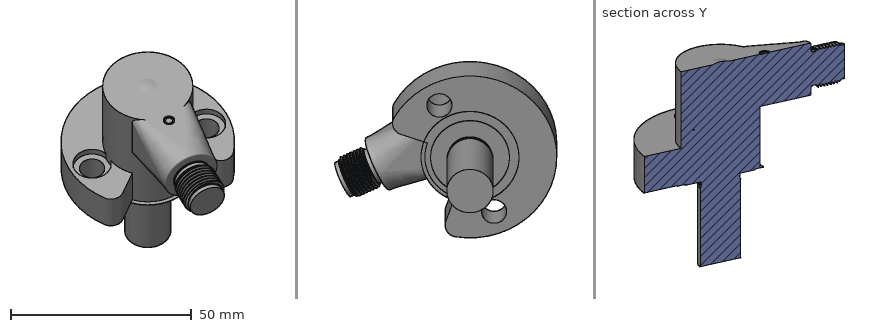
import cadquery as cq
import math


FLANGE_RADIUS = 24.0
FLANGE_HEIGHT = 11.2
NOTCH_ANGLE = 90.0
FLANGE_CORNER_RADIUS = 3.45
BOLT_X = 1.0
BOLT_Y = 17.45
BOLT_HOLE_RADIUS = 3.45
COUNTERBORE_RADIUS = 5.3
COUNTERBORE_DEPTH = 1.95

BODY_RADIUS = 12.5
BODY_TOP = 34.45
DOME_RADIUS = 2.6
DOME_HEIGHT = 0.45

LIP_RADIUS = 13.55
LIP_DEPTH = 0.2
SEAT_RADIUS = 10.9
SEAT_DEPTH = 0.45
NECK_RADIUS = 6.2
NECK_BOTTOM = -1.8
NECK_GROOVE_DEPTH = 0.1
NECK_GROOVE_TOP = -1.15
NECK_GROOVE_BOTTOM = -1.4
STEM_RADIUS = 6.4
STEM_LEAD_HEIGHT = 0.4
STEM_BOTTOM = -26.15

ARM_START_X = 8.8
ARM_START_HALF_WIDTH = 8.9
ARM_START_CORNER = 2.1
COLLAR_START_X = 26.9
COLLAR_END_X = 28.5
COLLAR_RADIUS = 8.0
COLLAR_FILLET = 0.45
ARM_AXIS_Z = BODY_TOP - COLLAR_RADIUS

LIGHT_X = 13.9
LIGHT_RADIUS = 1.6
LIGHT_FLOOR_RADIUS = 1.3
LIGHT_RECESS_DEPTH = 0.2
LENS_RADIUS = 0.95

SHOULDER_RADIUS = 5.4
SHOULDER_END_X = 28.8
CONNECTOR_NECK_RADIUS = 5.15
THREAD_START_X = 30.0
THREAD_END_X = 37.8
THREAD_ROOT_RADIUS = 5.4
THREAD_CREST_RADIUS = 6.05
THREAD_PITCH = 1.0
THREAD_BASE_WIDTH = 0.8
THREAD_CREST_WIDTH = 0.25
THREAD_OVERLAP = 0.1
THREAD_END_RADIUS = 5.35
THREAD_START_ANGLE = 135.0
THREAD_CLEARANCE = 0.3
NOSE_RADIUS = 5.2
NOSE_END_X = 63.0 - FLANGE_RADIUS


def cylinder(radius, bottom, top):
    """Upright cylinder on the body axis."""
    return cq.Workplane("XY").workplane(offset=bottom).circle(radius).extrude(top - bottom)


def arm_cylinder(radius, start_x, end_x):
    """Cylinder on the arm axis."""
    plane = cq.Workplane("YZ", origin=(start_x, 0, ARM_AXIS_Z))
    return plane.circle(radius).extrude(end_x - start_x)


def spherical_cap(radius, height, x, base_z):
    """Low dome standing on a horizontal plane."""
    profile = (
        cq.Workplane("XZ")
        .moveTo(0, 0)
        .lineTo(radius, 0)
        .radiusArc((0, height), -(radius**2 + height**2) / (2 * height))
        .close()
    )
    return profile.revolve(360, (0, 0, 0), (0, 1, 0)).translate((x, 0, base_z))


def make_flange():
    """Disc with a quarter-turn notch facing the arm and two counterbored holes."""
    reach = 2 * FLANGE_RADIUS
    half_angle = math.radians(NOTCH_ANGLE / 2)
    notch = (
        cq.Workplane("XY")
        .polyline([
            (0, 0),
            (reach * math.cos(half_angle), -reach * math.sin(half_angle)),
            (reach * math.cos(half_angle), reach * math.sin(half_angle)),
        ])
        .close()
        .extrude(FLANGE_HEIGHT)
    )
    flange = cylinder(FLANGE_RADIUS, 0, FLANGE_HEIGHT).cut(notch)
    flange = flange.edges("|Z").edges(">Y or <Y").fillet(FLANGE_CORNER_RADIUS)
    return (
        flange.faces(">Z")
        .workplane(origin=(0, 0, FLANGE_HEIGHT))
        .pushPoints([(BOLT_X, BOLT_Y), (BOLT_X, -BOLT_Y)])
        .cboreHole(2 * BOLT_HOLE_RADIUS, 2 * COUNTERBORE_RADIUS, COUNTERBORE_DEPTH)
    )


def make_body():
    dome = spherical_cap(DOME_RADIUS, DOME_HEIGHT, 0, BODY_TOP)
    return cylinder(BODY_RADIUS, 0, BODY_TOP).union(dome)


def make_stem():
    """Underside discs, grooved neck and stem, turned about the body axis."""
    groove_radius = NECK_RADIUS - NECK_GROOVE_DEPTH
    outline = [
        (0, 0),
        (LIP_RADIUS, 0),
        (LIP_RADIUS, -LIP_DEPTH),
        (SEAT_RADIUS, -LIP_DEPTH),
        (SEAT_RADIUS, -SEAT_DEPTH),
        (NECK_RADIUS, -SEAT_DEPTH),
        (NECK_RADIUS, NECK_GROOVE_TOP),
        (groove_radius, NECK_GROOVE_TOP),
        (groove_radius, NECK_GROOVE_BOTTOM),
        (NECK_RADIUS, NECK_GROOVE_BOTTOM),
        (NECK_RADIUS, NECK_BOTTOM),
        (STEM_RADIUS, NECK_BOTTOM - STEM_LEAD_HEIGHT),
        (STEM_RADIUS, STEM_BOTTOM),
        (0, STEM_BOTTOM),
    ]
    return cq.Workplane("XZ").polyline(outline).close().revolve(360, (0, 0, 0), (0, 1, 0))


def arc_from_angle(center, radius, start_angle):
    """Quarter-circle edge in a plane facing +X."""
    points = []
    for angle in (start_angle, start_angle + 45, start_angle + 90):
        turn = math.radians(angle)
        points.append(center + cq.Vector(0, radius * math.cos(turn), radius * math.sin(turn)))
    return cq.Edge.makeThreePointArc(*points)


def make_arm_blend():
    """Four flat triangles and four ruled corners joining the rectangle to the collar."""
    collar_center = cq.Vector(COLLAR_START_X, 0, ARM_AXIS_Z)
    corner_y = ARM_START_HALF_WIDTH - ARM_START_CORNER
    corner_z = COLLAR_RADIUS - ARM_START_CORNER
    corner_arcs = []
    collar_arcs = []
    for quarter, (side_y, side_z) in enumerate([(1, 1), (-1, 1), (-1, -1), (1, -1)]):
        corner = cq.Vector(ARM_START_X, side_y * corner_y, ARM_AXIS_Z + side_z * corner_z)
        corner_arcs.append(arc_from_angle(corner, ARM_START_CORNER, 90 * quarter))
        collar_arcs.append(arc_from_angle(collar_center, COLLAR_RADIUS, 90 * quarter))

    faces = []
    start_edges = []
    for quarter, (corner_arc, collar_arc) in enumerate(zip(corner_arcs, collar_arcs)):
        side_start = corner_arc.endPoint()
        side_end = corner_arcs[(quarter + 1) % len(corner_arcs)].startPoint()
        triangle = cq.Wire.makePolygon([side_start, side_end, collar_arc.endPoint()], close=True)
        faces.append(cq.Face.makeRuledSurface(corner_arc, collar_arc))
        faces.append(cq.Face.makeFromWires(triangle))
        start_edges += [corner_arc, cq.Edge.makeLine(side_start, side_end)]
    faces.append(cq.Face.makeFromWires(cq.Wire.assembleEdges(start_edges)))
    faces.append(cq.Face.makeFromWires(cq.Wire.assembleEdges(collar_arcs)))
    return cq.Workplane(cq.Solid.makeSolid(cq.Shell.makeShell(faces)).fix())


def make_arm():
    collar = arm_cylinder(COLLAR_RADIUS, COLLAR_START_X, COLLAR_END_X)
    collar = collar.faces(">X").edges().fillet(COLLAR_FILLET)
    return make_arm_blend().union(collar)


def make_light_recess():
    """Shallow conical recess around a lens that rises flush with the top."""
    recess = (
        cq.Workplane("XY", origin=(LIGHT_X, 0, BODY_TOP - LIGHT_RECESS_DEPTH))
        .circle(LIGHT_FLOOR_RADIUS)
        .workplane(offset=LIGHT_RECESS_DEPTH)
        .circle(LIGHT_RADIUS)
        .loft(ruled=True)
    )
    lens = spherical_cap(LENS_RADIUS, LIGHT_RECESS_DEPTH, LIGHT_X, BODY_TOP - LIGHT_RECESS_DEPTH)
    return recess.cut(lens)


def make_thread():
    """Right-hand helical ridge on a core, trimmed to lead-in cones at both ends."""
    length = THREAD_END_X - THREAD_START_X
    base_radius = THREAD_ROOT_RADIUS - THREAD_OVERLAP
    helix = cq.Wire.makeHelix(THREAD_PITCH, length + 2 * THREAD_PITCH, base_radius)
    ridge = (
        cq.Workplane("XZ")
        .polyline([
            (base_radius, -THREAD_BASE_WIDTH / 2),
            (THREAD_CREST_RADIUS, -THREAD_CREST_WIDTH / 2),
            (THREAD_CREST_RADIUS, THREAD_CREST_WIDTH / 2),
            (base_radius, THREAD_BASE_WIDTH / 2),
        ])
        .close()
        .sweep(cq.Workplane(helix), isFrenet=True)
        .translate((0, 0, -THREAD_PITCH))
        .rotate((0, 0, 0), (0, 0, 1), THREAD_START_ANGLE)
    )
    core = (
        cq.Workplane("XY")
        .workplane(offset=-2 * THREAD_PITCH)
        .circle(THREAD_ROOT_RADIUS)
        .extrude(length + 4 * THREAD_PITCH)
    )
    envelope = (
        cq.Workplane("XY")
        .circle(THREAD_CREST_RADIUS + THREAD_CLEARANCE)
        .extrude(length)
        .faces("<Z or >Z")
        .chamfer(THREAD_CREST_RADIUS + THREAD_CLEARANCE - THREAD_END_RADIUS)
    )
    thread = core.union(ridge, clean=False).intersect(envelope, clean=False)
    return thread.rotate((0, 0, 0), (0, 1, 0), 90).translate((THREAD_START_X, 0, ARM_AXIS_Z))


def make_connector():
    shoulder = arm_cylinder(SHOULDER_RADIUS, COLLAR_END_X, SHOULDER_END_X)
    neck = arm_cylinder(CONNECTOR_NECK_RADIUS, SHOULDER_END_X, THREAD_START_X)
    nose = arm_cylinder(NOSE_RADIUS, THREAD_END_X, NOSE_END_X)
    return shoulder.union(neck).union(make_thread()).union(nose)


result = (
    make_flange()
    .union(make_body())
    .union(make_stem())
    .union(make_arm())
    .cut(make_light_recess())
    .union(make_connector())
)